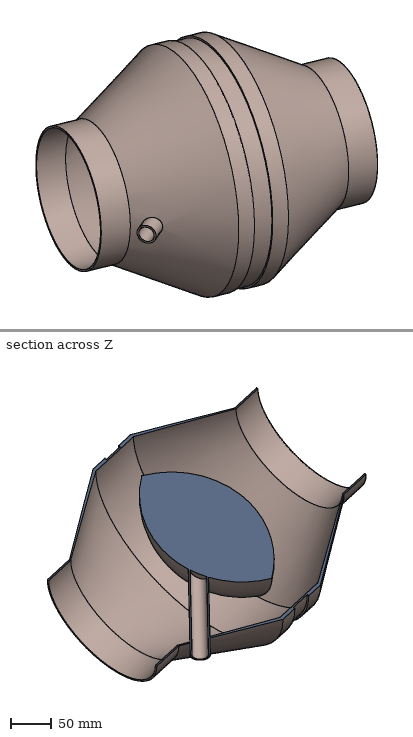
import cadquery as cq
import math

length = 380.0
collar_outer_dia = 185.0
collar_inner_dia = 180.0
collar_length = 40.0
band_outer_dia = 316.0
band_inner_dia = 311.0
ring_outer_dia = 321.0
ring_outer_y = 34.2
ring_inner_y = 12.5

core_radius = 127.3
core_half_length = 63.0

tube_outer_dia = 25.0
tube_inner_dia = 20.0
tube_end_x = 120.5
tube_end_y = -141.5
tube_angle = 46.0
tube_length = 171.0


def revolve_about_y(profile):
    return profile.close().revolve(360, (0, 0, 0), (0, 1, 0))


def full_profile(half_points):
    """Solid of revolution from (radius, y) points of the +Y half, mirrored to -Y."""
    mirrored = [(radius, -y) for radius, y in reversed(half_points)]
    points = [(0, half_points[0][1])] + half_points + mirrored + [(0, -half_points[0][1])]
    return revolve_about_y(cq.Workplane("XY").polyline(points))


def make_outer_body():
    return full_profile([
        (collar_outer_dia / 2, length / 2),
        (collar_outer_dia / 2, length / 2 - collar_length),
        (ring_outer_dia / 2, ring_outer_y),
        (ring_outer_dia / 2, ring_inner_y),
        (band_outer_dia / 2, ring_inner_y),
    ])


def make_cavity():
    return full_profile([
        (collar_inner_dia / 2, length / 2),
        (collar_inner_dia / 2, length / 2 - collar_length),
        (band_inner_dia / 2, ring_outer_y),
    ])


def make_core():
    """Lens-shaped body: two equal spherical caps meeting at the XZ plane."""
    rim_radius = math.sqrt(core_radius**2 - (core_radius - core_half_length)**2)
    half_lens = (
        cq.Workplane("XY")
        .moveTo(0, -core_half_length)
        .radiusArc((rim_radius, 0), -core_radius)
        .radiusArc((0, core_half_length), -core_radius)
    )
    return revolve_about_y(half_lens)


def make_rod(diameter):
    """Cylinder along the tube axis, starting at the tube's outer end."""
    angle = math.radians(tube_angle)
    inward = cq.Vector(-math.cos(angle), math.sin(angle), 0)
    start = cq.Vector(tube_end_x, tube_end_y, 0)
    return cq.Workplane(obj=cq.Solid.makeCylinder(diameter / 2, tube_length, start, inward))


core = make_core()
shell = make_outer_body().cut(make_cavity())
bore = make_rod(tube_inner_dia).cut(core)
result = shell.union(make_rod(tube_outer_dia)).union(core).cut(bore)